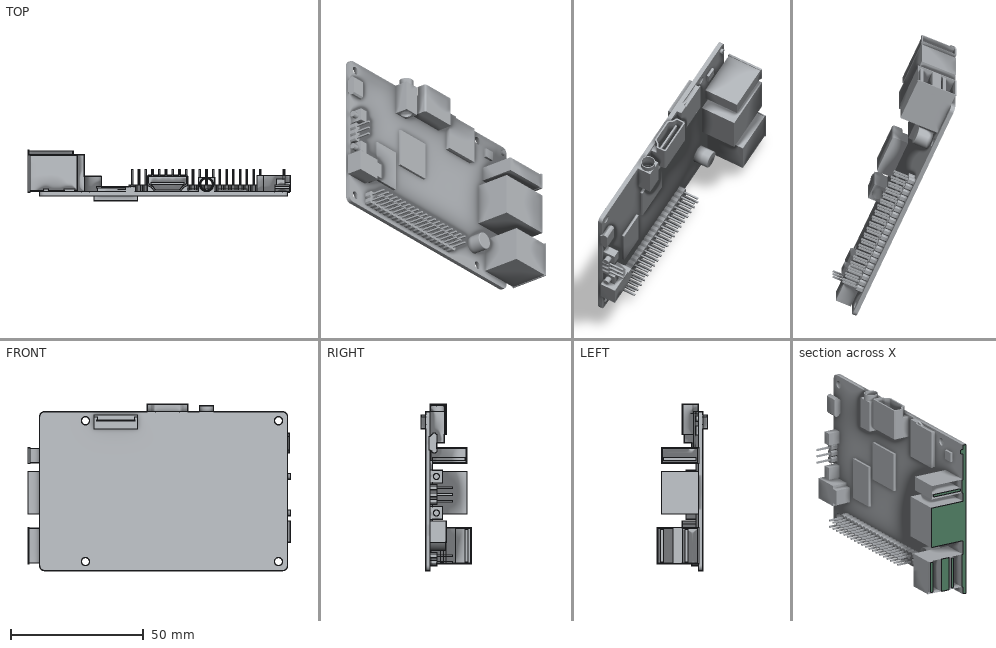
import cadquery as cq


BOARD_WIDTH = 93.5
BOARD_HEIGHT = 59.9
BOARD_THICKNESS = 1.7
CORNER_RADIUS = 2.0
HOLE_DIAMETER = 3.0
HOLE_INSET = 3.5
HOLE_SPACING_X = 72.7

LEFT_OVERHANG = 4.4
SOCKET_FRONT = -LEFT_OVERHANG
LAN_LENGTH = 21.3
LAN_HEIGHT = 13.9
LAN_BOTTOM = 21.4
LAN_TOP = 37.4
FLANGE_STEP = 0.3
SHELL_WALL = 0.4
TONGUE_THICKNESS = 1.2
TONGUE_LENGTH = 12.2
TONGUE_OFFSET = 1.3
PORT_BACK_WALL = 0.3
SINGLE_USB_SETBACK = 1.4
DUAL_USB_SETBACK = 0.3
SINGLE_USB_END = 14.3
SINGLE_USB_BOTTOM = 40.4
SINGLE_USB_TOP = 46.4
SINGLE_USB_FLANGE = 0.8
DUAL_USB_END = 12.8
DUAL_USB_BOTTOM = 2.6
DUAL_USB_TOP = 16.3
DUAL_USB_HEIGHT = 15.6
DUAL_USB_FLANGE = 0.4
DUAL_USB_PORT = 5.6

HDMI_LEFT = 40.5
HDMI_WIDTH = 15.3
HDMI_HEIGHT = 6.2
HDMI_BOTTOM = 51.2
HDMI_BODY_TOP = 59.1
HDMI_REACH = 2.8
HDMI_SHELL_TOP = BOARD_HEIGHT + HDMI_REACH
HDMI_TOP_CHAMFER = 0.5
HDMI_SIDE_FOOT = 2.4
HDMI_SHOULDER_X = 1.6
HDMI_SHOULDER_Y = 1.7
HDMI_FLOOR_INSET = 2.9
HDMI_CORNER_RADIUS = 0.7
HDMI_WALL = 0.6
HDMI_CAVITY_DEPTH = 8.9
HDMI_TONGUE_WIDTH = 12.5
HDMI_TONGUE_THICKNESS = 0.7
HDMI_TONGUE_Y = 3.1
HDMI_TONGUE_SETBACK = 2.5

JACK_X = 62.9
JACK_WIDTH = 6.2
JACK_BOTTOM = 48.2
JACK_DIAMETER = 5.3
JACK_MOUTH_DIAMETER = 4.7
JACK_BORE_DIAMETER = 4.4
JACK_REACH = 2.3
JACK_MOUTH_DEPTH = 5.6

CARD_LEFT = 21.5
CARD_RIGHT = 36.1
CARD_BOTTOM = 45.0
CARD_TOP = 59.3
CARD_HEIGHT = 1.9
CARD_COVER = 0.6
CARD_STOP_LEFT = 32.4
CARD_RAMP_LEFT = 29.6
CARD_RAMP_HEIGHT = 0.9
CARD_COVER_LIP = 0.3

PIN_COLUMNS = 20
PIN_ROWS = 2
PIN_ROW_LENGTH = 48.3
PIN_PITCH = PIN_ROW_LENGTH / (PIN_COLUMNS - 1)
PIN_SIZE = 0.64
PIN_HEIGHT = 8.4
CELL_HEIGHT = 2.6
CELL_CHAMFER = 0.6
HEADER_FIRST_X = 34.9
HEADER_BOTTOM = 1.9
SERIAL_X = 92.1
SERIAL_Z = 28.7
SERIAL_PINS = 3

BUTTON_HEIGHTS = (21.8, 35.5)
BUTTON_LEFT = 89.3
BUTTON_RIGHT = 92.4
BUTTON_SIZE = 4.7
BUTTON_DIAMETER = 2.3
BUTTON_Y = 2.4
BUTTON_REACH = 1.1
POWER_LEFT = 81.9
POWER_STEP_X = 84.4
POWER_RIGHT = 94.45
POWER_BOTTOM = 10.7
POWER_TOP = 18.8
POWER_STEP = 1.2
POWER_HEIGHT = 6.1
MICRO_LEFT = 88.7
MICRO_RIGHT = 94.1
MICRO_BOTTOM = 44.3
MICRO_TOP = 51.8
MICRO_HEIGHT = 2.6
MICRO_SIDE_FOOT = 1.2
MICRO_SLOPE = 1.2
MICRO_TOP_CHAMFER = 0.6
MICRO_LIP_DROP = 0.4
MICRO_LIP = 0.6

RIBBON_LEFT = 20.5
RIBBON_RIGHT = 37.0
RIBBON_BOTTOM = 53.4
RIBBON_TOP = 58.6
RIBBON_HEIGHT = 1.8
LATCH_BAR = 0.8
LATCH_TAB_BOTTOM = 56.7
LATCH_TAB_INSET = 1.3
LATCH_RECESS = 0.1
RIBBON_SLOT_INSET = 1.0
RIBBON_SLOT_WIDTH = 0.3
RIBBON_SLOT_DEPTH = 1.0

LED_HEIGHT = 1.0
CHIP_HEIGHT = 1.0
CHIPS = (
    ((9.3, 13.4), (51.0, 54.6)),
    ((49.45, 64.3), (26.7, 41.5)),
    ((67.2, 78.2), (14.8, 30.7)),
)
LED_X = 2.5
LED_Z = 57.3
LED_DIAMETER = 2.0
CAPACITOR_X = 20.1
CAPACITOR_Z = 10.9
CAPACITOR_DIAMETER = 6.6
CAPACITOR_HEIGHT = 5.8
CAPACITOR_FILLET = 0.3


def block(x_range, y_range, z_range):
    """Box spanning the given (low, high) ranges."""
    spans = [high - low for low, high in (x_range, y_range, z_range)]
    low_corner = (x_range[0], y_range[0], z_range[0])
    return cq.Workplane("XY").box(*spans, centered=False).translate(low_corner)


def post(x, z, diameter, height):
    """Cylinder rising from the component face."""
    return cq.Workplane("XZ").center(x, z).circle(diameter / 2).extrude(-height)


def board():
    plate = block((0, BOARD_WIDTH), (-BOARD_THICKNESS, 0), (0, BOARD_HEIGHT))
    plate = plate.edges("|Y").fillet(CORNER_RADIUS)
    right = BOARD_WIDTH - HOLE_INSET
    for x in (right - HOLE_SPACING_X, right):
        for z in (HOLE_INSET, BOARD_HEIGHT - HOLE_INSET):
            plate = plate.cut(post(x, z, HOLE_DIAMETER, -BOARD_THICKNESS))
    return plate


def usb_shell(end, height, z_range, flange):
    """Metal shell with a thin flange standing out around its mouth."""
    bottom, top = z_range
    rim = block((SOCKET_FRONT, SOCKET_FRONT + flange), (-FLANGE_STEP, height), z_range)
    body = block(
        (SOCKET_FRONT, end),
        (0, height - FLANGE_STEP),
        (bottom + FLANGE_STEP, top - FLANGE_STEP),
    )
    return rim.union(body)


def port(shell, end, setback, y_range, z_range, tongue_y, tongue_z):
    """Hollow out one USB port and put its contact tongue back."""
    back = end - PORT_BACK_WALL
    cavity = block((SOCKET_FRONT, back), y_range, z_range)
    tongue = block((SOCKET_FRONT + setback, back), tongue_y, tongue_z)
    return shell.cut(cavity).union(tongue)


def around(center, size):
    """Range of the given size about a center."""
    return (center - size / 2, center + size / 2)


def single_usb():
    z_range = (SINGLE_USB_BOTTOM, SINGLE_USB_TOP)
    shell = usb_shell(SINGLE_USB_END, LAN_HEIGHT, z_range, SINGLE_USB_FLANGE)
    tongue_z = (SINGLE_USB_BOTTOM + SINGLE_USB_TOP) / 2 - TONGUE_OFFSET
    return port(
        shell,
        SINGLE_USB_END,
        SINGLE_USB_SETBACK,
        (SHELL_WALL, LAN_HEIGHT - SHELL_WALL),
        (SINGLE_USB_BOTTOM + SHELL_WALL, SINGLE_USB_TOP - SHELL_WALL),
        around(LAN_HEIGHT / 2, TONGUE_LENGTH),
        around(tongue_z, TONGUE_THICKNESS),
    )


def dual_usb():
    z_range = (DUAL_USB_BOTTOM, DUAL_USB_TOP)
    shell = usb_shell(DUAL_USB_END, DUAL_USB_HEIGHT, z_range, DUAL_USB_FLANGE)
    middle_z = (DUAL_USB_BOTTOM + DUAL_USB_TOP) / 2
    lower_port = SHELL_WALL
    upper_port = DUAL_USB_HEIGHT - SHELL_WALL - DUAL_USB_PORT
    for y in (lower_port, upper_port):
        shell = port(
            shell,
            DUAL_USB_END,
            DUAL_USB_SETBACK,
            (y, y + DUAL_USB_PORT),
            (DUAL_USB_BOTTOM + SHELL_WALL, DUAL_USB_TOP - SHELL_WALL),
            around(y + DUAL_USB_PORT / 2 + TONGUE_OFFSET, TONGUE_THICKNESS),
            around(middle_z, TONGUE_LENGTH),
        )
    return shell


def lan_socket():
    return block((SOCKET_FRONT, SOCKET_FRONT + LAN_LENGTH), (0, LAN_HEIGHT), (LAN_BOTTOM, LAN_TOP))


def hdmi_prism(bottom, top, inset):
    """Prism of the D-shaped mouth: chamfered above, necked in toward the board."""
    half = HDMI_WIDTH / 2
    right_side = [
        (half - HDMI_FLOOR_INSET, 0),
        (half - HDMI_SHOULDER_X, HDMI_SHOULDER_Y),
        (half, HDMI_SIDE_FOOT),
        (half, HDMI_HEIGHT - HDMI_TOP_CHAMFER),
        (half - HDMI_TOP_CHAMFER, HDMI_HEIGHT),
    ]
    left_side = [(-x, y) for x, y in reversed(right_side)]
    middle_x = HDMI_LEFT + half
    outline = cq.Workplane("XY", origin=(middle_x, 0, bottom)).polyline(right_side + left_side).close()
    if inset > 0:
        outline = outline.offset2D(-inset, "intersection")
    prism = outline.extrude(top - bottom)
    below_chamfer = cq.selectors.BoxSelector(
        (HDMI_LEFT, -HDMI_HEIGHT, bottom),
        (HDMI_LEFT + HDMI_WIDTH, HDMI_HEIGHT / 2, top),
        boundingbox=False,
    )
    return prism.edges("|Z").edges(below_chamfer).fillet(HDMI_CORNER_RADIUS)


def hdmi_socket():
    right = HDMI_LEFT + HDMI_WIDTH
    body = block((HDMI_LEFT, right), (0, HDMI_HEIGHT), (HDMI_BOTTOM, HDMI_BODY_TOP))
    body = body.edges("|Z and >Y").chamfer(HDMI_TOP_CHAMFER)
    shell = hdmi_prism(HDMI_BODY_TOP, HDMI_SHELL_TOP, 0)
    floor = HDMI_SHELL_TOP - HDMI_CAVITY_DEPTH
    cavity = hdmi_prism(floor, HDMI_SHELL_TOP, HDMI_WALL)
    tongue = block(
        around(HDMI_LEFT + HDMI_WIDTH / 2, HDMI_TONGUE_WIDTH),
        around(HDMI_TONGUE_Y, HDMI_TONGUE_THICKNESS),
        (floor, HDMI_SHELL_TOP - HDMI_TONGUE_SETBACK),
    )
    return body.union(shell).cut(cavity).union(tongue)


def audio_jack():
    axis_y = JACK_DIAMETER / 2
    body = block(around(JACK_X, JACK_WIDTH), (0, JACK_DIAMETER), (JACK_BOTTOM, BOARD_HEIGHT))
    mouth = cq.Workplane("XY", origin=(JACK_X, axis_y, BOARD_HEIGHT))
    tube = mouth.circle(JACK_DIAMETER / 2).extrude(JACK_REACH)
    tip = mouth.workplane(offset=JACK_REACH)
    mouth_bore = tip.circle(JACK_MOUTH_DIAMETER / 2).extrude(-JACK_MOUTH_DEPTH)
    through_bore = mouth.circle(JACK_BORE_DIAMETER / 2).extrude(JACK_BOTTOM - BOARD_HEIGHT)
    return body.union(tube).cut(mouth_bore).cut(through_bore)


def card_slot():
    cover_bottom = CARD_HEIGHT - CARD_COVER
    x_range = (CARD_LEFT, CARD_RIGHT)
    cover = block(x_range, (cover_bottom, CARD_HEIGHT), (CARD_BOTTOM, CARD_TOP))
    base_x = (CARD_LEFT + CARD_COVER_LIP, CARD_RIGHT)
    base = block(base_x, (0, cover_bottom), (CARD_BOTTOM, CARD_TOP - CARD_COVER_LIP))
    stop = block((CARD_STOP_LEFT, CARD_RIGHT), (0, CARD_HEIGHT), (CARD_BOTTOM, BOARD_HEIGHT))
    ramp = (
        cq.Workplane("XZ")
        .moveTo(CARD_RAMP_LEFT, CARD_BOTTOM)
        .lineTo(CARD_RAMP_LEFT, CARD_TOP - CARD_COVER_LIP)
        .lineTo(CARD_STOP_LEFT, BOARD_HEIGHT)
        .lineTo(CARD_STOP_LEFT, CARD_BOTTOM)
        .close()
        .extrude(-CARD_RAMP_HEIGHT)
    )
    return cover.union(base).union(stop).union(ramp)


def header_pin(x, z):
    """One square pin in its base cell with chamfered corners."""
    cell = block(around(x, PIN_PITCH), (0, CELL_HEIGHT), around(z, PIN_PITCH))
    cell = cell.edges("|Y").chamfer(CELL_CHAMFER)
    return cell.union(block(around(x, PIN_SIZE), (0, PIN_HEIGHT), around(z, PIN_SIZE)))


def pin_positions():
    first_row = HEADER_BOTTOM + PIN_PITCH / 2
    main = [
        (HEADER_FIRST_X + column * PIN_PITCH, first_row + row * PIN_PITCH)
        for column in range(PIN_COLUMNS)
        for row in range(PIN_ROWS)
    ]
    middle = (SERIAL_PINS - 1) / 2
    serial = [(SERIAL_X, SERIAL_Z + (index - middle) * PIN_PITCH) for index in range(SERIAL_PINS)]
    return main + serial


def push_button(z):
    body = block((BUTTON_LEFT, BUTTON_RIGHT), (0, BUTTON_SIZE), around(z, BUTTON_SIZE))
    plunger = cq.Workplane("YZ", origin=(BUTTON_RIGHT, BUTTON_Y, z)).circle(BUTTON_DIAMETER / 2)
    return body.union(plunger.extrude(BOARD_WIDTH + BUTTON_REACH - BUTTON_RIGHT))


def power_socket():
    y_range = (0, POWER_HEIGHT)
    front = block((POWER_STEP_X, POWER_RIGHT), y_range, (POWER_BOTTOM, POWER_TOP))
    rear_z = (POWER_BOTTOM + POWER_STEP, POWER_TOP - POWER_STEP)
    return front.union(block((POWER_LEFT, POWER_STEP_X), y_range, rear_z))


def micro_usb():
    """Socket that narrows toward the board, with a small lip past the board edge."""
    outline = [
        (0, MICRO_BOTTOM + MICRO_SLOPE),
        (MICRO_SIDE_FOOT, MICRO_BOTTOM),
        (MICRO_HEIGHT - MICRO_TOP_CHAMFER, MICRO_BOTTOM),
        (MICRO_HEIGHT, MICRO_BOTTOM + MICRO_TOP_CHAMFER),
        (MICRO_HEIGHT, MICRO_TOP - MICRO_TOP_CHAMFER),
        (MICRO_HEIGHT - MICRO_TOP_CHAMFER, MICRO_TOP),
        (MICRO_SIDE_FOOT, MICRO_TOP),
        (0, MICRO_TOP - MICRO_SLOPE),
    ]
    socket = cq.Workplane("YZ", origin=(MICRO_LEFT, 0, 0)).polyline(outline).close()
    socket = socket.extrude(MICRO_RIGHT - MICRO_LEFT)
    lip_z = (MICRO_BOTTOM + MICRO_SLOPE, MICRO_TOP - MICRO_SLOPE)
    return socket.union(block((MICRO_RIGHT - MICRO_LIP, MICRO_RIGHT), (-MICRO_LIP_DROP, 0), lip_z))


def ribbon_connector():
    face = -BOARD_THICKNESS - RIBBON_HEIGHT
    latch_y = (face + LATCH_RECESS, -BOARD_THICKNESS)
    bar_bottom = RIBBON_TOP - LATCH_BAR
    tab_left = RIBBON_LEFT + LATCH_TAB_INSET
    tab_right = RIBBON_RIGHT - LATCH_TAB_INSET
    body = block((RIBBON_LEFT, RIBBON_RIGHT), (face, -BOARD_THICKNESS), (RIBBON_BOTTOM, bar_bottom))
    tab_recess = block((tab_left, tab_right), (face, latch_y[0]), (LATCH_TAB_BOTTOM, bar_bottom))
    bar_x = (RIBBON_LEFT + LATCH_RECESS, RIBBON_RIGHT - LATCH_RECESS)
    bar = block(bar_x, latch_y, (bar_bottom, RIBBON_TOP))
    slot = block(
        (RIBBON_LEFT + RIBBON_SLOT_INSET, RIBBON_RIGHT - RIBBON_SLOT_INSET),
        (face, face + RIBBON_SLOT_DEPTH),
        (LATCH_TAB_BOTTOM - RIBBON_SLOT_WIDTH, LATCH_TAB_BOTTOM),
    )
    return body.cut(tab_recess).cut(slot).union(bar)


def capacitor():
    can = post(CAPACITOR_X, CAPACITOR_Z, CAPACITOR_DIAMETER, CAPACITOR_HEIGHT)
    return can.faces(">Y").edges().fillet(CAPACITOR_FILLET)


parts = [
    single_usb(),
    dual_usb(),
    lan_socket(),
    hdmi_socket(),
    audio_jack(),
    card_slot(),
    power_socket(),
    micro_usb(),
    ribbon_connector(),
    capacitor(),
    post(LED_X, LED_Z, LED_DIAMETER, LED_HEIGHT),
]
parts += [push_button(z) for z in BUTTON_HEIGHTS]
parts += [block(x_range, (0, CHIP_HEIGHT), z_range) for x_range, z_range in CHIPS]
parts += [header_pin(x, z) for x, z in pin_positions()]

result = board()
for part in parts:
    result = result.union(part)